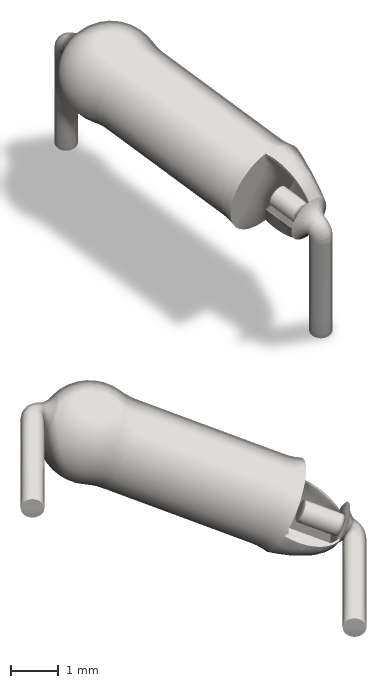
import cadquery as cq
import math

barrel_radius = 1.0
bulb_radius = 2.2 / 2
bulb_x = 2.43
neck_radius = 1.4

overall_length = 8.0
wire_radius = 0.25
leg_bottom_z = -4.35 + bulb_radius
leg_x = overall_length / 2 - wire_radius
bend_radius = 0.26
stub_start_x = 2.5

collar_x = 3.4
collar_tip_x = 3.7
collar_tip_radius = 0.21
collar_radius = math.sqrt(bulb_radius**2 - (collar_x - bulb_x) ** 2)
collar_sag = 0.03

shell_wall = 0.08
shell_floor_z = -0.72
shell_steps = 6
round_tolerance = 8e-08

blend_span = bulb_radius + neck_radius
neck_run = math.sqrt(blend_span**2 - (barrel_radius + neck_radius) ** 2)
neck_x = bulb_x - neck_run
tangent_share = bulb_radius / blend_span
blend_x = bulb_x - neck_run * tangent_share
blend_radius = (barrel_radius + neck_radius) * tangent_share


def neck_middle():
    """Point halfway along the right-hand neck arc, as (x, radius)."""
    half_angle = math.asin(neck_run / blend_span) / 2
    x = neck_x + neck_radius * math.sin(half_angle)
    return x, barrel_radius + neck_radius * (1 - math.cos(half_angle))


def make_lead(inner_x):
    """Right-hand lead: collar, straight stub from inner_x, elbow and leg."""
    elbow_x = leg_x - bend_radius
    stub = cq.Workplane("YZ", origin=(inner_x, 0, 0)).circle(wire_radius).extrude(elbow_x - inner_x)
    elbow = (
        cq.Workplane("YZ", origin=(elbow_x, 0, 0))
        .circle(wire_radius)
        .revolve(90, (0, -bend_radius), (1, -bend_radius))
    )
    leg = (
        cq.Workplane("XY", origin=(leg_x, 0, leg_bottom_z))
        .circle(wire_radius)
        .extrude(-bend_radius - leg_bottom_z)
    )
    collar_middle = (
        (collar_x + collar_tip_x) / 2 - collar_sag,
        (collar_radius + collar_tip_radius) / 2 - collar_sag,
    )
    collar = (
        cq.Workplane("XZ")
        .moveTo(collar_x, 0)
        .lineTo(collar_x, collar_radius)
        .threePointArc(collar_middle, (collar_tip_x, collar_tip_radius))
        .lineTo(collar_tip_x, 0)
        .close()
        .revolve(360, (0, 0), (1, 0))
    )
    return stub.union(elbow).union(leg).union(collar)


def make_envelope():
    """Barrel with the closed left bulb, cut square inside the right bulb."""
    middle_x, middle_radius = neck_middle()
    return (
        cq.Workplane("XZ")
        .moveTo(-collar_x, 0)
        .lineTo(-collar_x, collar_radius)
        .threePointArc((-bulb_x, bulb_radius), (-blend_x, blend_radius))
        .threePointArc((-middle_x, middle_radius), (-neck_x, barrel_radius))
        .lineTo(neck_x, barrel_radius)
        .threePointArc((middle_x, middle_radius), (blend_x, blend_radius))
        .lineTo(blend_x, 0)
        .close()
        .revolve(360, (0, 0), (1, 0))
    )


def half_ellipse(x, height, depth):
    """Closed outline of the +Y half of an ellipse across the axis at x."""
    center = cq.Vector(x, 0, 0)
    top = cq.Vector(x, 0, height)
    bottom = cq.Vector(x, 0, -height)
    if height - depth > round_tolerance:
        arc = cq.Edge.makeEllipse(height, depth, center, cq.Vector(1, 0, 0), cq.Vector(0, 0, 1), 180, 360)
    else:
        arc = cq.Edge.makeThreePointArc(top, cq.Vector(x, depth, 0), bottom)
    return cq.Wire.assembleEdges([arc, cq.Edge.makeLine(bottom, top)])


def half_ellipse_loft(inset):
    """Half bulb on the +Y side: circular in height, straight taper in depth."""
    sections = []
    for step in range(shell_steps + 1):
        share = step / shell_steps
        x = blend_x + (collar_x - blend_x) * share
        height = math.sqrt(bulb_radius**2 - (x - bulb_x) ** 2) - inset
        depth = blend_radius + (collar_radius - blend_radius) * share - inset
        sections.append(half_ellipse(x, height, depth))
    return cq.Workplane(cq.Solid.makeLoft(sections))


def make_half_shell():
    """Thin scoop behind the wire stub, left solid along its bottom."""
    size = overall_length
    above_floor = cq.Workplane("XY", origin=(0, 0, shell_floor_z)).box(size, size, size, (True, True, False))
    hollow = half_ellipse_loft(shell_wall).intersect(above_floor)
    return half_ellipse_loft(0).cut(hollow)


right_lead = make_lead(stub_start_x)
left_lead = make_lead(collar_x).mirror("YZ")
housing = make_envelope().union(left_lead).union(make_half_shell()).cut(right_lead)

result = cq.Compound.makeCompound([*housing.solids().vals(), *right_lead.solids().vals()])